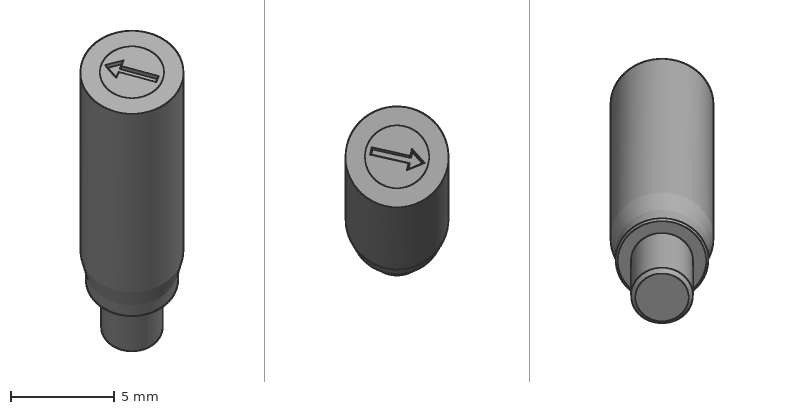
import cadquery as cq

total_height = 21.0
collar_bottom = 4.0
collar_top = 5.0
body_bottom = 6.4

body_diameter = 5.0
collar_diameter = 4.5
collar_chamfer = 0.1

shank_diameter = 3.0
shank_chamfer = 0.2

dial_diameter = 3.1
dial_height = 5.0
dial_bottom = total_height - dial_height

arrow_depth = 0.19
arrow_wall_slope = 18.0
arrow_tip = 1.36
arrow_tail = 1.3
arrow_head_length = 0.75
arrow_head_width = 1.1
arrow_shaft_width = 0.38
arrow_heading = 189.5


def cylinder(diameter, bottom, top):
    return cq.Workplane("XY").workplane(offset=bottom).circle(diameter / 2).extrude(top - bottom)


def make_sleeve():
    """Long barrel that tapers to a collar, with a socket in each end."""
    body_radius = body_diameter / 2
    collar_radius = collar_diameter / 2
    barrel = (
        cq.Workplane("XZ")
        .moveTo(0, collar_bottom)
        .lineTo(collar_radius - collar_chamfer, collar_bottom)
        .lineTo(collar_radius, collar_bottom + collar_chamfer)
        .lineTo(collar_radius, collar_top)
        .lineTo(body_radius, body_bottom)
        .lineTo(body_radius, total_height)
        .lineTo(0, total_height)
        .close()
        .revolve(360, (0, 0), (0, 1))
    )
    shank_socket = cylinder(shank_diameter, collar_bottom, dial_bottom)
    dial_socket = cylinder(dial_diameter, dial_bottom, total_height)
    return barrel.cut(shank_socket).cut(dial_socket)


def make_shank():
    """Plain pin with a chamfered lower end, reaching up to the underside of the dial."""
    return cylinder(shank_diameter, 0, dial_bottom).faces("<Z").chamfer(shank_chamfer)


def make_arrow():
    """Cutter for the arrow, narrowing downward, laid out along X and turned to its heading."""
    head_base = arrow_tip - arrow_head_length
    half_head = arrow_head_width / 2
    half_shaft = arrow_shaft_width / 2
    return (
        cq.Workplane("XY")
        .workplane(offset=total_height)
        .polyline([
            (arrow_tip, 0),
            (head_base, half_head),
            (head_base, half_shaft),
            (-arrow_tail, half_shaft),
            (-arrow_tail, -half_shaft),
            (head_base, -half_shaft),
            (head_base, -half_head),
        ])
        .close()
        .extrude(-arrow_depth, taper=arrow_wall_slope)
        .rotate((0, 0, 0), (0, 0, 1), arrow_heading)
    )


def make_dial():
    """Disc-ended plug, flush with the top of the sleeve, engraved with the arrow."""
    return cylinder(dial_diameter, dial_bottom, total_height).cut(make_arrow())


sleeve = make_sleeve()
shank = make_shank()
dial = make_dial()

result = cq.Compound.makeCompound([sleeve.val(), shank.val(), dial.val()])